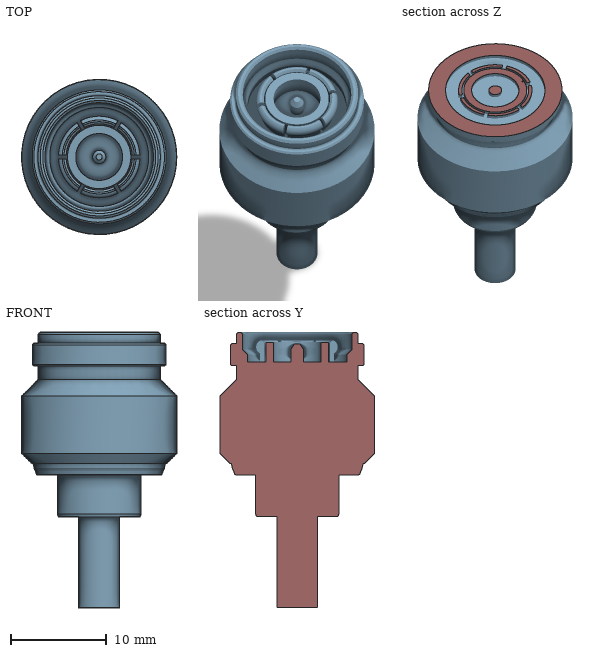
import cadquery as cq


TOTAL_HEIGHT = 28.75
CRIMP_BOTTOM = 9.5
END_CAP_BOTTOM = 13.83
END_CAP_EDGE_TOP = 13.9
END_CAP_BEVEL_TOP = 14.35
END_CAP_TAPER_BOTTOM = 14.52
LOWER_CONE_BOTTOM = 15.05
BODY_BOTTOM = 16.1
BODY_TOP = 22.08
NECK_BOTTOM = 23.8
COLLAR_BOTTOM = 25.2
COLLAR_TOP = 27.6

BODY_RADIUS = 16.2 / 2
NECK_RADIUS = 6.38
COLLAR_RADIUS = 7.0
LOWER_CONE_RADIUS = 7.02
END_CAP_RADIUS = 6.9
END_CAP_TAPER_RADIUS = 6.78
END_CAP_BEVEL_RADIUS = 6.7
END_CAP_EDGE_RADIUS = 6.53
END_CAP_FACE_RADIUS = 6.32
CRIMP_RADIUS = 4.37
CABLE_RADIUS = 4.28 / 2

RIM_CHAMFER = 0.23
COLLAR_CHAMFER = 0.17
CRIMP_CHAMFER_RADIAL = 0.12
CRIMP_CHAMFER_HEIGHT = 0.3

SOCKET_RADIUS = 5.65
SOCKET_FLOOR_RADIUS = 10.32 / 2
SOCKET_FLOOR = 25.67
SOCKET_CONE_TOP = 26.9

INSULATOR_RADIUS = 3.3
INSULATOR_BORE_RADIUS = 2.45
INSULATOR_TOP = 27.7
PIN_RADIUS = 0.7
PIN_TIP_RADIUS = 0.32
PIN_SHOULDER = 26.97
PIN_TOP = 27.5

SPRING_TOP = 27.83
SPRING_INNER_RADIUS = 3.45
SPRING_WALL_RADIUS = 3.85
BEAD_HEIGHT = 1.32
BEAD_BULGE = 0.4
SPRING_CHAMFER = 0.23
SLOT_WIDTH = 0.4
SLOT_COUNT = 6


def revolve_profile(profile):
    """Turn a closed (radius, height) profile around the Z axis."""
    return profile.close().revolve(360, (0, 0, 0), (0, 1, 0))


def make_shell():
    """Cable, crimp sleeve, coupling body and collar, with the open socket."""
    cone_depth = SOCKET_RADIUS - SOCKET_FLOOR_RADIUS
    outline = [
        (0, 0),
        (CABLE_RADIUS, 0),
        (CABLE_RADIUS, CRIMP_BOTTOM),
        (CRIMP_RADIUS - CRIMP_CHAMFER_RADIAL, CRIMP_BOTTOM),
        (CRIMP_RADIUS, CRIMP_BOTTOM + CRIMP_CHAMFER_HEIGHT),
        (CRIMP_RADIUS, END_CAP_BOTTOM),
        (END_CAP_FACE_RADIUS, END_CAP_BOTTOM),
        (END_CAP_EDGE_RADIUS, END_CAP_EDGE_TOP),
        (END_CAP_BEVEL_RADIUS, END_CAP_BEVEL_TOP),
        (END_CAP_TAPER_RADIUS, END_CAP_TAPER_BOTTOM),
        (END_CAP_RADIUS, LOWER_CONE_BOTTOM),
        (LOWER_CONE_RADIUS, LOWER_CONE_BOTTOM),
        (BODY_RADIUS, BODY_BOTTOM),
        (BODY_RADIUS, BODY_TOP),
        (NECK_RADIUS, NECK_BOTTOM),
        (NECK_RADIUS, COLLAR_BOTTOM),
        (COLLAR_RADIUS - COLLAR_CHAMFER, COLLAR_BOTTOM),
        (COLLAR_RADIUS, COLLAR_BOTTOM + COLLAR_CHAMFER),
        (COLLAR_RADIUS, COLLAR_TOP - COLLAR_CHAMFER),
        (COLLAR_RADIUS - COLLAR_CHAMFER, COLLAR_TOP),
        (NECK_RADIUS, COLLAR_TOP),
        (NECK_RADIUS, TOTAL_HEIGHT - RIM_CHAMFER),
        (NECK_RADIUS - RIM_CHAMFER, TOTAL_HEIGHT),
        (SOCKET_RADIUS + RIM_CHAMFER, TOTAL_HEIGHT),
        (SOCKET_RADIUS, TOTAL_HEIGHT - RIM_CHAMFER),
        (SOCKET_RADIUS, SOCKET_CONE_TOP),
        (SOCKET_FLOOR_RADIUS, SOCKET_CONE_TOP - cone_depth),
        (SOCKET_FLOOR_RADIUS, SOCKET_FLOOR),
        (0, SOCKET_FLOOR),
    ]
    return revolve_profile(cq.Workplane("XZ").polyline(outline))


def make_insulator():
    """Plain dielectric tube standing on the socket floor."""
    return (
        cq.Workplane("XY")
        .workplane(offset=SOCKET_FLOOR)
        .circle(INSULATOR_RADIUS)
        .circle(INSULATOR_BORE_RADIUS)
        .extrude(INSULATOR_TOP - SOCKET_FLOOR)
    )


def make_pin():
    """Centre contact with a conical tip."""
    outline = [
        (0, SOCKET_FLOOR),
        (PIN_RADIUS, SOCKET_FLOOR),
        (PIN_RADIUS, PIN_SHOULDER),
        (PIN_TIP_RADIUS, PIN_TOP),
        (0, PIN_TOP),
    ]
    return revolve_profile(cq.Workplane("XZ").polyline(outline))


def make_spring_ring():
    """Thin ring with a rounded bead outside its lip, slotted into fingers."""
    bead_centre = SPRING_TOP - BEAD_HEIGHT / 2
    profile = (
        cq.Workplane("XZ")
        .moveTo(SPRING_INNER_RADIUS, SOCKET_FLOOR)
        .lineTo(SPRING_WALL_RADIUS, SOCKET_FLOOR)
        .lineTo(SPRING_WALL_RADIUS, SPRING_TOP - BEAD_HEIGHT)
        .threePointArc(
            (SPRING_WALL_RADIUS + BEAD_BULGE, bead_centre),
            (SPRING_WALL_RADIUS, SPRING_TOP),
        )
        .lineTo(SPRING_INNER_RADIUS + SPRING_CHAMFER, SPRING_TOP)
        .lineTo(SPRING_INNER_RADIUS, SPRING_TOP - SPRING_CHAMFER)
    )
    ring = revolve_profile(profile)
    slot = (
        cq.Workplane("XY")
        .workplane(offset=SOCKET_FLOOR)
        .rect(SOCKET_FLOOR_RADIUS, SLOT_WIDTH)
        .extrude(SPRING_TOP - SOCKET_FLOOR)
        .translate((SOCKET_FLOOR_RADIUS / 2, 0, 0))
    )
    for index in range(SLOT_COUNT):
        ring = ring.cut(slot.rotate((0, 0, 0), (0, 0, 1), index * 360 / SLOT_COUNT))
    return ring


result = make_shell().union(make_insulator()).union(make_pin()).union(make_spring_ring())